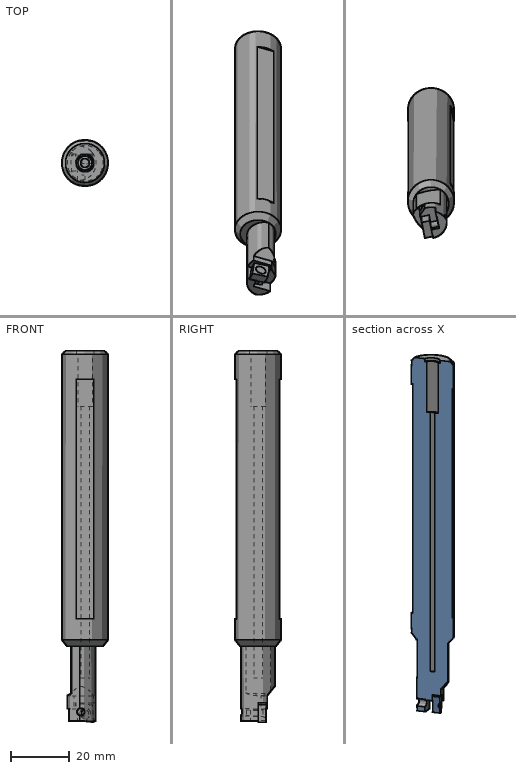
import cadquery as cq

length = 127.1
shank_radius = 15.9 / 2
shank_bottom = 28.2
top_chamfer = 1.3
flat_width = 5.8
flat_bottom = 35.3
flat_top = 117.3
flat_distance = (shank_radius**2 - (flat_width / 2) ** 2) ** 0.5

neck_radius = 6.1
neck_top = 25.9
body_bottom = 0.4
neck_right = 3.7
neck_seam_x = -1.8
neck_seam_y = (neck_radius**2 - neck_seam_x**2) ** 0.5
relief_bottom = 9.2
relief_depth_x = -4.8
relief_edge_x = -4.5
relief_half_width = 4.1
relief_ramp = 0.9
ramp_top = 12.7
head_back = 3.2
head_chamfer_side = 5.1
head_chamfer_y = 1.9

counterbore_radius = 3.0
counterbore_depth = 1.0
bore_radius = 2.4
bore_depth = 19.1
channel_radius = 1.5
channel_bottom = 15.3

insert_front = 0.0
insert_back = 2.8
insert_tip_x = 3.0
insert_width = 5.6
insert_height = 6.0
insert_lean = 0.6
seat_gap = 0.1
window_front = -2.7
window_right = 0.6
window_top = 4.6
screw_x = 0.0
screw_z = 3.2
screw_radius = 1.1
screw_head_radius = 1.8
screw_head_height = 1.1
screw_embed = 1.3
port_x = -1.4
port_z = 3.5
port_radius = 1.3


def box(x_range, y_range, z_range):
    """Box between the given lower and upper limits."""
    lows, highs = zip(x_range, y_range, z_range)
    sizes = [high - low for low, high in zip(lows, highs)]
    return cq.Workplane().box(*sizes, centered=False).translate(lows)


def cylinder(radius, bottom, top):
    """Cylinder on the Z axis."""
    return cq.Workplane().workplane(offset=bottom).circle(radius).extrude(top - bottom)


def cylinder_along_y(radius, x, z, front, back):
    """Cylinder parallel to Y from front to back."""
    return cq.Workplane("XZ", origin=(x, front, z)).circle(radius).extrude(front - back)


def make_shank():
    """Revolved shank with a cone to the neck and two clamping flats."""
    shank = (
        cq.Workplane("XZ")
        .moveTo(0, neck_top)
        .lineTo(neck_radius, neck_top)
        .lineTo(shank_radius, shank_bottom)
        .lineTo(shank_radius, length - top_chamfer)
        .lineTo(shank_radius - top_chamfer, length)
        .lineTo(0, length)
        .close()
        .revolve(360, (0, 0), (0, 1))
    )
    half_width = flat_width / 2
    for y_range in ((-shank_radius, -flat_distance), (flat_distance, shank_radius)):
        shank = shank.cut(box((-half_width, half_width), y_range, (flat_bottom, flat_top)))
    return shank


def make_relief():
    """Cutter leaving a gently curved -X face with a sloped ledge above the head."""
    outside = -shank_radius
    block = box((outside, 0), (-shank_radius, shank_radius), (relief_bottom, neck_top))
    kept_core = (
        cq.Workplane()
        .moveTo(relief_edge_x, -relief_half_width)
        .threePointArc((relief_depth_x, 0), (relief_edge_x, relief_half_width))
        .lineTo(0, neck_radius)
        .lineTo(0, -neck_radius)
        .close()
        .extrude(neck_top)
    )
    side_keep = box((relief_edge_x, 0), (-shank_radius, shank_radius), (0, neck_top))
    ledge = (
        cq.Workplane("XZ", origin=(0, shank_radius, 0))
        .moveTo(outside, relief_bottom)
        .lineTo(-neck_radius, relief_bottom)
        .lineTo(relief_edge_x, relief_bottom + relief_ramp)
        .lineTo(0, relief_bottom + relief_ramp)
        .lineTo(0, relief_bottom)
        .close()
        .extrude(2 * shank_radius)
    )
    return block.cut(kept_core).cut(side_keep).cut(ledge)


def make_back_cut():
    """Cutter for the +Y side: sloped down from the neck to the head."""
    return (
        cq.Workplane("YZ", origin=(-shank_radius, 0, 0))
        .moveTo(neck_radius, ramp_top)
        .lineTo(head_back, relief_bottom)
        .lineTo(head_back, 0)
        .lineTo(shank_radius, 0)
        .lineTo(shank_radius, ramp_top)
        .close()
        .extrude(2 * shank_radius)
    )


def make_head_chamfer():
    """Cutter for the 45 degree chamfer on the -X, +Y corner of the head."""
    run = neck_radius
    return (
        cq.Workplane()
        .moveTo(-head_chamfer_side - run, head_chamfer_y - run)
        .lineTo(-head_chamfer_side + run, head_chamfer_y + run)
        .lineTo(-head_chamfer_side - run, head_chamfer_y + run)
        .close()
        .extrude(relief_bottom)
    )


def make_neck():
    """Neck and head, with the relieved side and the insert seat."""
    neck = (
        cq.Workplane(origin=(0, 0, body_bottom))
        .moveTo(neck_seam_x, -neck_seam_y)
        .threePointArc((neck_right, 0), (neck_seam_x, neck_seam_y))
        .threePointArc((-neck_radius, 0), (neck_seam_x, -neck_seam_y))
        .close()
        .extrude(neck_top - body_bottom)
    )
    neck = neck.cut(make_relief()).cut(make_back_cut()).cut(make_head_chamfer())
    seat_top = insert_height + insert_lean + seat_gap
    seat_left = insert_tip_x - insert_width - insert_lean - seat_gap
    seat_depth = (insert_front, shank_radius)
    neck = neck.cut(box((seat_left, shank_radius), seat_depth, (0, seat_top)))
    neck = neck.cut(box((-shank_radius, shank_radius), seat_depth, (0, window_top)))
    neck = neck.cut(box((-shank_radius, window_right), (window_front, insert_front), (0, window_top)))
    return neck.cut(cylinder_along_y(port_radius, port_x, port_z, -neck_radius, window_front))


def make_screw():
    """Insert screw with a conical head ending flush with the insert."""
    shaft = cylinder_along_y(screw_radius, screw_x, screw_z, window_front - screw_embed, insert_back)
    head = (
        cq.Workplane("XZ", origin=(screw_x, insert_back - screw_head_height, screw_z))
        .circle(screw_radius)
        .workplane(offset=-screw_head_height)
        .circle(screw_head_radius)
        .loft()
    )
    return shaft.union(head)


def make_holder():
    """Shank, neck and fixed insert screw, with the coolant bore."""
    holder = make_shank().union(make_neck()).union(make_screw())
    holder = holder.cut(cylinder(counterbore_radius, length - counterbore_depth, length))
    holder = holder.cut(cylinder(bore_radius, length - bore_depth, length))
    return holder.cut(cylinder(channel_radius, channel_bottom, length))


def make_insert():
    """Rhombic cutting insert with a hole that fits the screw."""
    left = insert_tip_x - insert_width
    plate = (
        cq.Workplane("XZ", origin=(0, insert_front, 0))
        .moveTo(insert_tip_x, 0)
        .lineTo(left, insert_lean)
        .lineTo(left - insert_lean, insert_height + insert_lean)
        .lineTo(insert_tip_x - insert_lean, insert_height)
        .close()
        .extrude(insert_front - insert_back)
    )
    return plate.cut(make_screw())


holder = make_holder()
insert = make_insert()
result = cq.Compound.makeCompound([holder.val(), insert.val()])